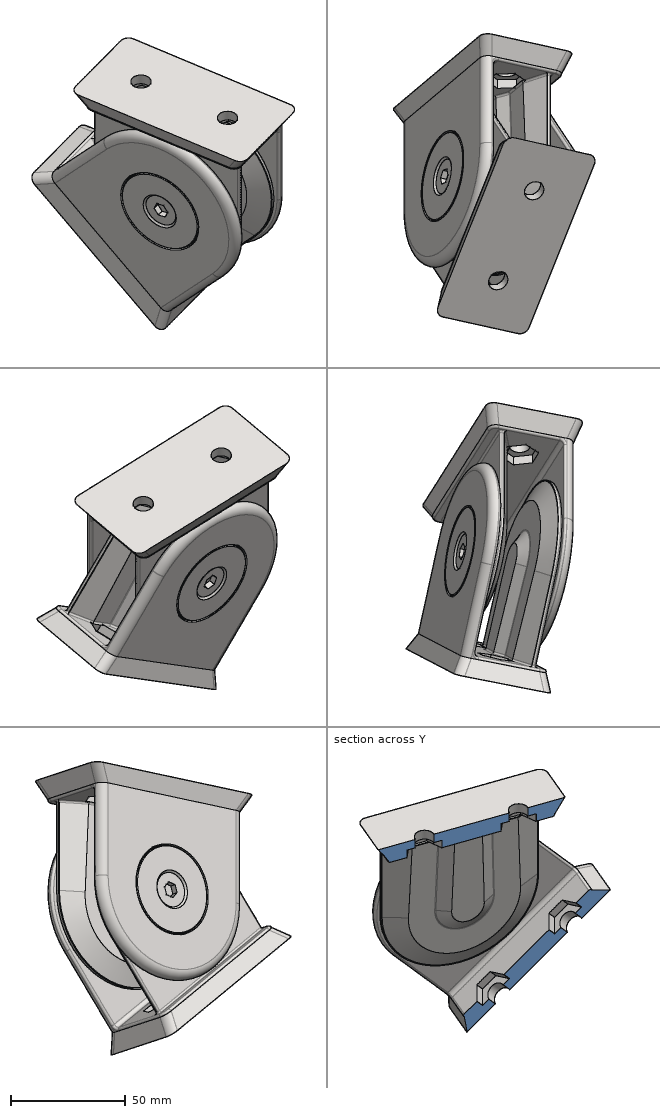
import cadquery as cq
import math

TILT = 40.0

MOUNT_HEIGHT = 50.0
MOUNT_LENGTH = 89.6
MOUNT_WIDTH = 44.8
FLARE_HEIGHT = 8.0
NECK_LENGTH = 79.8
NECK_WIDTH = 39.6
CORNER_RADIUS = 4.0
RIM_WIDTH = 1.2
RIM_FILLET = 1.1
ROOT_FILLET = 2.0
CHEEK_RADIUS = NECK_LENGTH / 2
CHEEK_OUTER = NECK_WIDTH / 2
CHEEK_INNER = CHEEK_OUTER - CORNER_RADIUS - RIM_WIDTH
FLARE_START = MOUNT_HEIGHT - FLARE_HEIGHT
FLOOR = FLARE_START - RIM_WIDTH

LEG_OUTER = 14.4
LEG_RADIUS = 37.7
LEG_EDGE_FILLET = 0.8
LEG_ROOT_FILLET = 0.9
LEG_OVERLAP = 1.0
FLANGE_INNER = 12.5
FLANGE_RIM_RADIUS = 37.2
WIDE_RIB_FACE = 7.5
WIDE_RIB_RADIUS = 26.8
NARROW_RIB_FACE = 3.8
NARROW_RIB_ROOT_RADIUS = 14.0
NARROW_RIB_RADIUS = 7.8
RIB_FILLET = 1.0
RIB_OVERRUN = 1.0
DRAFT = 1.0

HEX_FLATS_TO_CORNERS = math.cos(math.pi / 6)
BOLT_SPACING = 45.0
BOLT_HOLE_DIAMETER = 8.8
HEX_POCKET_FLATS = 14.5
HEX_POCKET_DEPTH = 4.2

DISC_RADIUS = 19.8
DISC_CLEARANCE = 0.5
DISC_THICKNESS = 4.0
DISC_CHAMFER = 0.4
DISC_SEAT = CHEEK_OUTER - DISC_THICKNESS
SHANK_RADIUS = 5.0
SEAT_RADIUS = 8.6
SEAT_DEPTH = SEAT_RADIUS - SHANK_RADIUS
SCREW_RECESS = 0.9
HEAD_RADIUS = SEAT_RADIUS - SCREW_RECESS
HEAD_TOP = CHEEK_OUTER - SCREW_RECESS
HEAD_HEIGHT = HEAD_RADIUS - SHANK_RADIUS
SCREW_TIP = 6.5
SOCKET_FLATS = 6.2
SOCKET_DEPTH = 3.0
SOCKET_TURN = 48.0


def plate(radius, top, y_from, y_to):
    """Plate between two Y positions: half disc about the pivot with straight sides up to the top."""
    outline = (
        cq.Workplane("XZ", origin=(0, y_from, 0))
        .moveTo(-radius, top)
        .lineTo(-radius, 0)
        .threePointArc((0, -radius), (radius, 0))
        .lineTo(radius, top)
        .close()
    )
    return outline.extrude(y_from - y_to)


def pivot_cylinder(radius, y_from, y_to):
    """Cylinder about the pivot axis between two Y positions."""
    return cq.Workplane("XZ", origin=(0, y_from, 0)).circle(radius).extrude(y_from - y_to)


def turned(profile):
    """Solid of revolution about the pivot axis from (radius, y) points."""
    return cq.Workplane("XY").polyline(profile).close().revolve(360, (0, 0), (0, 1))


def make_shell():
    """Cheek, floor plate and flared mounting pad."""
    shell = plate(CHEEK_RADIUS, FLARE_START + RIM_WIDTH, -CHEEK_OUTER, CHEEK_OUTER)
    shell = shell.faces("<Y or >Y").edges("not >Z").fillet(CORNER_RADIUS)
    opening = (
        cq.Workplane("XY")
        .box(3 * NECK_LENGTH, NECK_WIDTH, 2 * NECK_LENGTH)
        .translate((0, CHEEK_INNER - NECK_WIDTH / 2, FLOOR - NECK_LENGTH))
    )
    shell = shell.cut(opening)
    root = cq.selectors.NearestToPointSelector((0, CHEEK_INNER, FLOOR))
    shell = shell.edges(root).fillet(ROOT_FILLET)
    rim_front = cq.selectors.NearestToPointSelector((0, -CHEEK_OUTER, FLOOR))
    shell = shell.edges(rim_front).fillet(RIM_FILLET)
    foot = cq.Sketch().rect(NECK_LENGTH, NECK_WIDTH).vertices().fillet(CORNER_RADIUS)
    pad = cq.Sketch().rect(MOUNT_LENGTH, MOUNT_WIDTH).vertices().fillet(CORNER_RADIUS)
    pad = pad.moved(cq.Location(cq.Vector(0, 0, FLARE_HEIGHT)))
    flare = cq.Workplane("XY", origin=(0, 0, FLARE_START)).placeSketch(foot, pad).loft()
    return shell.union(flare)


def make_rib(root_radius, root_y, tip_radius, tip_y, sink=0.0):
    """Arch with sloping sides and a drafted face that passes tip_y at the pivot; sink buries the root."""
    slope = (root_radius - tip_radius) / (tip_y - root_y)
    base_y = root_y - sink
    base_radius = root_radius + slope * sink
    over_y = tip_y + RIB_OVERRUN
    over_radius = tip_radius - slope * RIB_OVERRUN
    cap = turned([(0, base_y), (base_radius, base_y), (over_radius, over_y), (0, over_y)])
    section = [(base_radius, base_y), (over_radius, over_y), (-over_radius, over_y), (-base_radius, base_y)]
    straight = cq.Workplane("XY").polyline(section).close().extrude(FLOOR + LEG_OVERLAP)
    trim = (
        cq.Workplane("XY")
        .box(4 * LEG_RADIUS, LEG_RADIUS, 4 * LEG_RADIUS)
        .translate((0, LEG_RADIUS / 2, 0))
        .rotate((0, 0, 0), (1, 0, 0), -DRAFT)
        .translate((0, tip_y, 0))
    )
    return cap.union(straight).cut(trim)


def make_leg():
    """Flange plate with a wide rib and a narrow rib stacked toward the mid plane."""
    flange = plate(LEG_RADIUS, FLOOR + LEG_OVERLAP, -LEG_OUTER, -FLANGE_INNER)
    flange = flange.faces("<Y").edges("not >Z").fillet(LEG_EDGE_FILLET)
    wide = make_rib(FLANGE_RIM_RADIUS, -FLANGE_INNER, WIDE_RIB_RADIUS, -WIDE_RIB_FACE)
    narrow = make_rib(
        NARROW_RIB_ROOT_RADIUS, -WIDE_RIB_FACE, NARROW_RIB_RADIUS, -NARROW_RIB_FACE, sink=RIB_OVERRUN
    )
    leg = flange.union(wide).union(narrow)
    reach = NARROW_RIB_ROOT_RADIUS + 2
    valley = cq.selectors.BoxSelector(
        (-reach, -WIDE_RIB_FACE - 1, -reach), (reach, -WIDE_RIB_FACE + 1, FLOOR)
    )
    return leg.edges(valley).fillet(RIB_FILLET)


def bolt_holes():
    """Cutters for the mounting bolts: a through hole with a hexagonal pocket at the floor."""
    centres = [(-BOLT_SPACING / 2, 0), (BOLT_SPACING / 2, 0)]
    floor_plane = cq.Workplane("XY", origin=(0, 0, FLOOR)).pushPoints(centres)
    holes = floor_plane.circle(BOLT_HOLE_DIAMETER / 2).extrude(MOUNT_HEIGHT - FLOOR)
    pockets = (
        cq.Workplane("XY", origin=(0, 0, FLOOR))
        .pushPoints(centres)
        .polygon(6, HEX_POCKET_FLATS / HEX_FLATS_TO_CORNERS)
        .extrude(HEX_POCKET_DEPTH)
    )
    return holes.union(pockets)


def make_bracket():
    """Shell and leg in one piece, with the bolt holes, disc recess and screw bores."""
    body = make_shell().union(make_leg())
    leg_root = cq.selectors.BoxSelector(
        (-NECK_LENGTH / 2, -LEG_OUTER - 0.1, FLOOR - 0.1),
        (NECK_LENGTH / 2, -NARROW_RIB_FACE + 1, FLOOR + 0.1),
    )
    body = body.edges(leg_root).fillet(LEG_ROOT_FILLET)
    recess = pivot_cylinder(DISC_RADIUS + DISC_CLEARANCE, DISC_SEAT, CHEEK_OUTER)
    cheek_bore = pivot_cylinder(SHANK_RADIUS, CHEEK_INNER, DISC_SEAT)
    leg_bore = pivot_cylinder(SHANK_RADIUS, -LEG_OUTER, -SCREW_TIP)
    return body.cut(bolt_holes()).cut(recess).cut(cheek_bore).cut(leg_bore)


def make_disc():
    """Cover disc in the cheek, with a 90 degree conical seat for the screw."""
    disc = pivot_cylinder(DISC_RADIUS, DISC_SEAT, CHEEK_OUTER).faces(">Y").chamfer(DISC_CHAMFER)
    seat = turned([
        (0, DISC_SEAT),
        (SHANK_RADIUS, DISC_SEAT),
        (SHANK_RADIUS, CHEEK_OUTER - SEAT_DEPTH),
        (SEAT_RADIUS, CHEEK_OUTER),
        (0, CHEEK_OUTER),
    ])
    return disc.cut(seat)


def make_screw():
    """Countersunk screw with a hexagonal socket; its cone lies on the seat of the disc."""
    screw = turned([
        (0, SCREW_TIP),
        (SHANK_RADIUS, SCREW_TIP),
        (SHANK_RADIUS, HEAD_TOP - HEAD_HEIGHT),
        (HEAD_RADIUS, HEAD_TOP),
        (0, HEAD_TOP),
    ])
    socket = (
        cq.Workplane("XZ", origin=(0, HEAD_TOP, 0))
        .polygon(6, SOCKET_FLATS / HEX_FLATS_TO_CORNERS)
        .extrude(SOCKET_DEPTH)
        .rotate((0, 0, 0), (0, 1, 0), SOCKET_TURN)
    )
    return screw.cut(socket)


def swing(part):
    """Move a part from the upper side of the hinge to the tilted lower side."""
    return part.rotate((0, 0, 0), (1, 0, 0), 180).rotate((0, 0, 0), (0, 1, 0), TILT)


upper_side = [make_bracket(), make_disc(), make_screw()]
lower_side = [swing(part) for part in upper_side]
result = cq.Compound.makeCompound([part.val() for part in upper_side + lower_side])